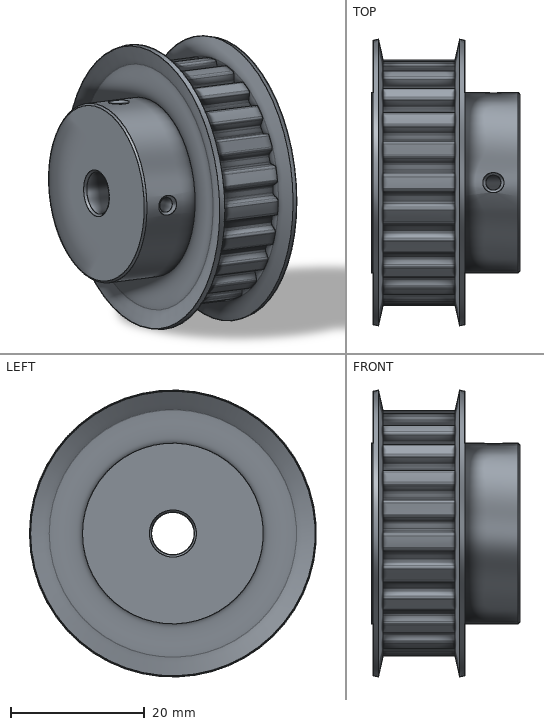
import cadquery as cq
import math

total_length = 22.2
rim_start = 0.25
flange_depth = 1.45
belt_width = 10.8
hub_chamfer = 0.3

flange_radius = 21.45
hub_radius = 13.5
bore_radius = 3.17
bore_chamfer = 0.35

sheet_thickness = 0.8
dish_angle = math.radians(12.5)
dish_inner_radius = 18.5

tooth_count = 23
tooth_radius = 18.35
groove_depth = 1.4
groove_floor_width = 1.35
groove_half_angle = math.radians(25)
root_fillet = 0.407
tip_fillet = 0.47
cutter_overshoot = 0.45

screw_x = 18.22
screw_radius = 1.1
screw_countersink = 0.47

belt_start = rim_start + flange_depth
belt_end = belt_start + belt_width
belt_middle = (belt_start + belt_end) / 2


def groove_cutter():
    """Trapezoidal bar along X that cuts one groove at +Z."""
    floor_z = tooth_radius - groove_depth
    top_z = tooth_radius + cutter_overshoot
    half_floor = groove_floor_width / 2
    half_top = half_floor + (top_z - floor_z) * math.tan(groove_half_angle)
    return (
        cq.Workplane("YZ")
        .polyline([
            (-half_floor, floor_z),
            (half_floor, floor_z),
            (half_top, top_z),
            (-half_top, top_z),
        ])
        .close()
        .extrude(belt_width)
    )


def distance_from_axis(edge):
    centre = edge.Center()
    return math.hypot(centre.y, centre.z)


def toothed_rim():
    """Cylinder cut by rounded axial grooves, with a tooth centred on +Z."""
    rim = cq.Workplane("YZ").circle(tooth_radius).extrude(belt_width)
    cutter = groove_cutter()
    pitch_angle = 360 / tooth_count
    for index in range(tooth_count):
        angle = (index + 0.5) * pitch_angle
        rim = rim.cut(cutter.rotate((0, 0, 0), (1, 0, 0), angle))

    middle_radius = tooth_radius - groove_depth / 2
    roots = [edge for edge in rim.edges("|X").vals() if distance_from_axis(edge) < middle_radius]
    rim = rim.newObject(roots).fillet(root_fillet)
    tips = [edge for edge in rim.edges("|X").vals() if math.isclose(distance_from_axis(edge), tooth_radius)]
    rim = rim.newObject(tips).fillet(tip_fillet)
    return rim.translate((belt_start, 0, 0))


def flange():
    """Flat disc bent outward at the rim into a shallow cone of constant thickness."""
    edge_x = rim_start + sheet_thickness * math.cos(dish_angle)
    edge_radius = flange_radius - sheet_thickness * math.sin(dish_angle)
    disc_x = rim_start + (edge_radius - dish_inner_radius) * math.tan(dish_angle)
    inner_bend = flange_radius - (belt_start - edge_x) / math.tan(dish_angle)
    return (
        cq.Workplane("XY")
        .moveTo(disc_x, 0)
        .lineTo(disc_x, dish_inner_radius)
        .lineTo(rim_start, edge_radius)
        .lineTo(edge_x, flange_radius)
        .lineTo(belt_start, inner_bend)
        .lineTo(belt_start, 0)
        .close()
        .revolve(360, (0, 0, 0), (1, 0, 0))
    )


def hub():
    """Core cylinder running the full length, chamfered at the far end."""
    return cq.Workplane("YZ").circle(hub_radius).extrude(total_length).faces(">X").chamfer(hub_chamfer)


def bore():
    """Through bore with a chamfer at both mouths."""
    mouth = bore_radius + bore_chamfer
    return (
        cq.Workplane("XY")
        .polyline([
            (0, 0),
            (0, mouth),
            (bore_chamfer, bore_radius),
            (total_length - bore_chamfer, bore_radius),
            (total_length, mouth),
            (total_length, 0),
        ])
        .close()
        .revolve(360, (0, 0, 0), (1, 0, 0))
    )


def screw_hole():
    """Radial hole along +Z from the bore to the hub surface, countersunk outside."""
    mouth = screw_radius + screw_countersink
    return (
        cq.Workplane("XZ", origin=(screw_x, 0, 0))
        .polyline([
            (0, 0),
            (screw_radius, 0),
            (screw_radius, hub_radius - screw_countersink),
            (mouth, hub_radius),
            (0, hub_radius),
        ])
        .close()
        .revolve(360, (0, 0, 0), (0, 1, 0))
    )


near_flange = flange()
far_flange = near_flange.mirror("YZ", (belt_middle, 0, 0))

result = hub().union(toothed_rim()).union(near_flange).union(far_flange).cut(bore())

for turn in (0, -90):
    result = result.cut(screw_hole().rotate((0, 0, 0), (1, 0, 0), turn))